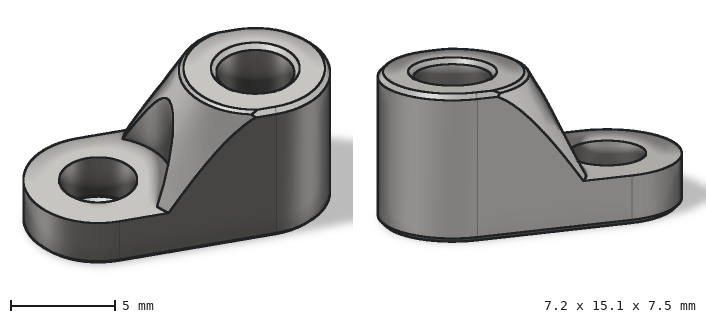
import cadquery as cq
import math

length = 15.07
width = 7.2
height = 7.5
base_height = 2.5

hole_diameter = 3.75
chamfer = 0.25

flare_angle = math.radians(30)

end_radius = width / 2
center_spacing = length - width
boss_y = center_spacing / 2
foot_y = -boss_y
boss_height = height - base_height


def link_body():
    """Full-height rounded bar with its top and bottom outlines chamfered."""
    bar = cq.Workplane("XY").slot2D(length, width, 90).extrude(height)
    return bar.faces("<Z or >Z").chamfer(chamfer)


def boss_envelope():
    """Cone about the boss axis, with an edge break at the top, standing on a wide base."""
    edge_break = chamfer * math.tan(flare_angle)
    top_radius = end_radius - edge_break
    break_radius = end_radius + edge_break * math.sin(flare_angle)
    break_z = height - edge_break * math.cos(flare_angle)
    foot_radius = end_radius + boss_height * math.tan(flare_angle)
    profile = (
        cq.Workplane("XZ", origin=(0, boss_y, 0))
        .moveTo(0, 0)
        .lineTo(length, 0)
        .lineTo(length, base_height)
        .lineTo(foot_radius, base_height)
        .lineTo(break_radius, break_z)
        .lineTo(top_radius, height)
        .lineTo(0, height)
        .close()
    )
    return profile.revolve(360, (0, 0, 0), (0, 1, 0))


def foot_clearance():
    """Round pocket over the foot, concentric with its rounded end."""
    return (
        cq.Workplane("XY", origin=(0, foot_y, base_height))
        .circle(end_radius)
        .extrude(boss_height)
    )


def through_hole(y):
    return cq.Workplane("XY", origin=(0, y, 0)).circle(hole_diameter / 2).extrude(height)


def countersink(y, face_z, inward):
    """45 degree countersink at a hole mouth; inward is the Z sign pointing into the part."""
    hole_radius = hole_diameter / 2
    mouth = cq.Vector(0, y, face_z)
    axis = cq.Vector(0, 0, inward)
    return cq.Workplane(cq.Solid.makeCone(hole_radius + chamfer, hole_radius, chamfer, mouth, axis))


result = link_body().intersect(boss_envelope()).cut(foot_clearance())
for hole_y in (boss_y, foot_y):
    result = result.cut(through_hole(hole_y))
    result = result.cut(countersink(hole_y, 0, 1))
result = result.cut(countersink(boss_y, height, -1))